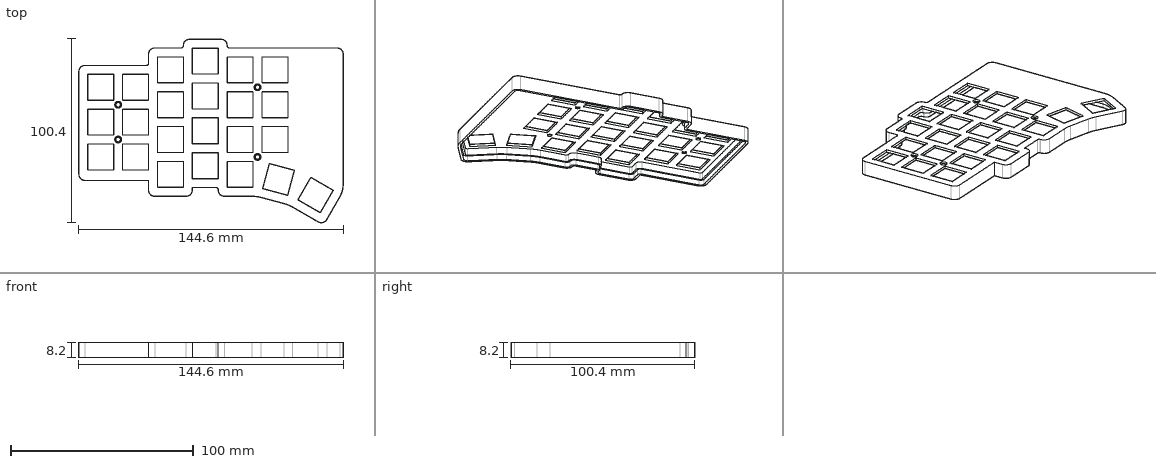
import cadquery as cq
import math

opening = 14.0
four_key_run = 57.1
pitch = four_key_run / 3
margin = pitch - opening
key_edge = opening / 2 + margin
stagger = pitch / 4

columns = [
    (2 * stagger, 3),
    (2 * stagger, 3),
    (0, 4),
    (stagger, 4),
    (0, 4),
    (pitch, 3),
]

inner_thumb = (109.2, 9.3, -15)
outer_thumb = (129.5, 0.7, -30)

length = 144.6
height = 8.2
plate = 1.5
wall = 2.5
rim_wall = 1.5
rebate_depth = 2.9
extra_front = 0.9

corner_radius = 3.5
inside_radius = 1.0
thumb_bend_radius = 19.1
side_bend_radius = 14.5

screw_diameter = 2.5
screw_head_diameter = 3.8
countersink_angle = 90


def key_x(column):
    return key_edge + column * pitch


def key_y(column, row):
    shift, _ = columns[column]
    return key_edge + shift + row * pitch


def column_top(column):
    _, count = columns[column]
    return key_y(column, count - 1) + key_edge


def thumb_point(key, across, along):
    """Point given in the rotated frame of a thumb key."""
    x, y, degrees = key
    turn = math.radians(degrees)
    return (
        x + across * math.cos(turn) - along * math.sin(turn),
        y + across * math.sin(turn) + along * math.cos(turn),
    )


def thumb_side_height(key, x):
    """Height at x of the case side that runs below a thumb key."""
    start_x, start_y = thumb_point(key, 0, -key_edge)
    return start_y + (x - start_x) * math.tan(math.radians(key[2]))


def outline_corners():
    """Corners of the case as (x, y, radius), counter-clockwise from the lower left.

    A radius of zero leaves the corner sharp.
    """
    left_bottom = 2 * stagger - extra_front
    third_left = key_x(2) - key_edge
    third_right = key_x(2) + key_edge
    tall_left = key_x(3) - key_edge
    tall_right = key_x(3) + key_edge
    fifth_left = key_x(4) - key_edge

    inner_slope = math.tan(math.radians(inner_thumb[2]))
    outer_slope = math.tan(math.radians(outer_thumb[2]))
    inner_start = -thumb_side_height(inner_thumb, 0) / inner_slope
    gap_at_origin = thumb_side_height(outer_thumb, 0) - thumb_side_height(inner_thumb, 0)
    thumb_meet = gap_at_origin / (inner_slope - outer_slope)
    tip_x, tip_y = thumb_point(outer_thumb, key_edge, -key_edge)
    side_y = tip_y - (length - tip_x) / outer_slope

    return [
        (0, left_bottom, corner_radius),
        (third_left, left_bottom, 0),
        (third_left, 0, corner_radius),
        (third_right, 0, corner_radius),
        (third_right, stagger, 0),
        (fifth_left, stagger, inside_radius),
        (fifth_left, 0, corner_radius),
        (inner_start, 0, thumb_bend_radius),
        (thumb_meet, thumb_side_height(inner_thumb, thumb_meet), thumb_bend_radius),
        (tip_x, tip_y, corner_radius),
        (length, side_y, side_bend_radius),
        (length, column_top(2), corner_radius),
        (tall_right, column_top(2), inside_radius),
        (tall_right, column_top(3), corner_radius),
        (tall_left, column_top(3), corner_radius),
        (tall_left, column_top(2), inside_radius),
        (third_left, column_top(2), corner_radius),
        (third_left, column_top(0), inside_radius),
        (0, column_top(0), corner_radius),
    ]


def solid_case():
    corners = outline_corners()
    body = cq.Workplane("XY").polyline([(x, y) for x, y, _ in corners]).close().extrude(height)
    for x, y, radius in corners:
        if radius > 0:
            corner_edge = cq.selectors.NearestToPointSelector((x, y, height / 2))
            body = body.edges("|Z").edges(corner_edge).fillet(radius)
    return body


def inset_block(body, inset, depth):
    """Block that follows the case outline at a constant inset, from the bottom up."""
    outline = body.faces("<Z").wires().val()
    inner = outline.offset2D(-inset)[0]
    return cq.Workplane("XY").add(inner).toPending().extrude(depth)


def opening_cutter(x, y, degrees=0):
    cutter = cq.Workplane("XY").rect(opening, opening).extrude(height)
    return cutter.rotate((0, 0, 0), (0, 0, 1), degrees).translate((x, y, 0))


case = solid_case()
cavity = inset_block(case, wall, height - plate)
rebate = inset_block(case, rim_wall, rebate_depth)
result = case.cut(cavity).cut(rebate)

for column, (_, count) in enumerate(columns):
    for row in range(count):
        result = result.cut(opening_cutter(key_x(column), key_y(column, row)))
for thumb in (inner_thumb, outer_thumb):
    result = result.cut(opening_cutter(*thumb))

left_screw_x = key_x(0) + pitch / 2
right_screw_x = key_x(4) + pitch / 2
screw_points = [
    (left_screw_x, key_y(0, 0) + pitch / 2),
    (left_screw_x, key_y(0, 1) + pitch / 2),
    (right_screw_x, key_y(4, 0) + pitch / 2),
    (right_screw_x, key_y(4, 2) + pitch / 2),
]
result = (
    result.faces(">Z").workplane(origin=(0, 0, height))
    .pushPoints(screw_points)
    .cskHole(screw_diameter, screw_head_diameter, countersink_angle)
)